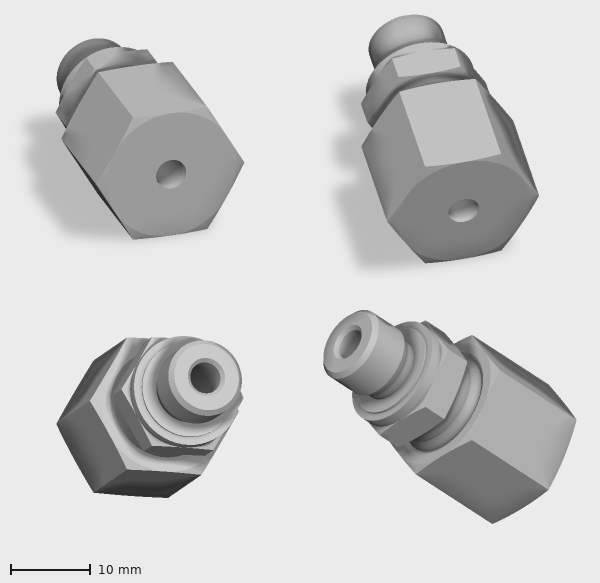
import cadquery as cq
import math


total_length = 31.5
through_bore_radius = 2.0
mouth_chamfer = 0.47

stud_radius = 4.85
stud_chamfer = 0.6
stud_length = 5.23
stud_neck_radius = 4.15
neck_blend_radius = 0.98

seal_face_x = 7.72
seal_radius = 6.0
seal_proud = 0.28
seal_thickness = 0.95

body_hex_width = 14.0
collar_radius = body_hex_width / 2
collar_face_x = seal_face_x + seal_proud
body_hex_start = 9.58
body_hex_end = 13.55

rear_neck_radius = 5.85
rear_neck_fillet = 0.57
shank_cone_start = 16.1

nut_hex_width = 17.0
nut_start = 16.98
nut_mouth_radius = 7.2
countersink_angle = math.radians(60)

cone_angle = math.radians(30)
cone_slope = math.tan(cone_angle)
countersink_slope = math.tan(countersink_angle)
corner_slope = math.tan(math.radians(15))

cone_radius_at_nut = rear_neck_radius + (nut_start - shank_cone_start) * cone_slope
countersink_depth = (nut_mouth_radius - cone_radius_at_nut) / (cone_slope + countersink_slope)
shank_start = nut_start + countersink_depth
shank_radius = cone_radius_at_nut + countersink_depth * cone_slope


def revolve_profile(profile):
    """Turn a closed outline of (x, radius) about the X axis."""
    return profile.close().revolve(360, (0, 0, 0), (1, 0, 0))


def chamfered_hex(x_start, x_end, width):
    """Hexagon along X, corners on the Y axis, each end turned down to its inscribed circle."""
    inscribed = width / 2
    circumscribed = inscribed / math.cos(math.pi / 6)
    corner_depth = (circumscribed - inscribed) * corner_slope
    prism = (
        cq.Workplane("YZ", origin=(x_start, 0, 0))
        .polygon(6, 2 * circumscribed)
        .extrude(x_end - x_start)
    )
    envelope = revolve_profile(
        cq.Workplane("XY")
        .moveTo(x_start, 0)
        .lineTo(x_start, inscribed)
        .lineTo(x_start + corner_depth, circumscribed)
        .lineTo(x_end - corner_depth, circumscribed)
        .lineTo(x_end, inscribed)
        .lineTo(x_end, 0)
    )
    return prism.intersect(envelope)


def make_seal_ring():
    """Plain ring around the stud neck."""
    return (
        cq.Workplane("YZ", origin=(seal_face_x, 0, 0))
        .circle(seal_radius)
        .circle(stud_neck_radius)
        .extrude(seal_thickness)
    )


def front_turning():
    """Stud, relieved neck and collar, with the neck blended into the stud's cone."""
    cone_end_x = stud_length + (stud_radius - stud_neck_radius) / cone_slope
    tangent_length = neck_blend_radius * math.tan(cone_angle / 2)
    blend_start = (
        cone_end_x - tangent_length * math.cos(cone_angle),
        stud_neck_radius + tangent_length * math.sin(cone_angle),
    )
    blend_end = (cone_end_x + tangent_length, stud_neck_radius)
    return revolve_profile(
        cq.Workplane("XY")
        .moveTo(0, 0)
        .lineTo(0, stud_radius - stud_chamfer)
        .lineTo(stud_chamfer, stud_radius)
        .lineTo(stud_length, stud_radius)
        .lineTo(*blend_start)
        .radiusArc(blend_end, -neck_blend_radius)
        .lineTo(collar_face_x, stud_neck_radius)
        .lineTo(collar_face_x, collar_radius)
        .lineTo(body_hex_start, collar_radius)
        .lineTo(body_hex_start, 0)
    )


def rear_turning():
    """Filleted neck, cone and shank that runs through the nut."""
    return revolve_profile(
        cq.Workplane("XY")
        .moveTo(body_hex_end, 0)
        .lineTo(body_hex_end, rear_neck_radius + rear_neck_fillet)
        .radiusArc((body_hex_end + rear_neck_fillet, rear_neck_radius), -rear_neck_fillet)
        .lineTo(shank_cone_start, rear_neck_radius)
        .lineTo(shank_start, shank_radius)
        .lineTo(total_length, shank_radius)
        .lineTo(total_length, 0)
    )


def through_bore():
    """Bore along the whole body, chamfered at the stud end."""
    return revolve_profile(
        cq.Workplane("XY")
        .moveTo(0, 0)
        .lineTo(0, through_bore_radius + mouth_chamfer)
        .lineTo(mouth_chamfer, through_bore_radius)
        .lineTo(total_length, through_bore_radius)
        .lineTo(total_length, 0)
    )


def make_body():
    """Turned body with its hexagon, bored through and recessed for the seal ring."""
    hexagon = chamfered_hex(body_hex_start, body_hex_end, body_hex_width)
    outside = front_turning().union(hexagon).union(rear_turning())
    return outside.cut(through_bore()).cut(make_seal_ring())


def make_nut():
    """Hexagon nut with a countersunk hole that fits the shank."""
    hole = revolve_profile(
        cq.Workplane("XY")
        .moveTo(nut_start, 0)
        .lineTo(nut_start, nut_mouth_radius)
        .lineTo(shank_start, shank_radius)
        .lineTo(total_length, shank_radius)
        .lineTo(total_length, 0)
    )
    return chamfered_hex(nut_start, total_length, nut_hex_width).cut(hole)


body = make_body()
seal_ring = make_seal_ring()
nut = make_nut()

result = cq.Compound.makeCompound([body.solids().val(), seal_ring.val(), nut.solids().val()])